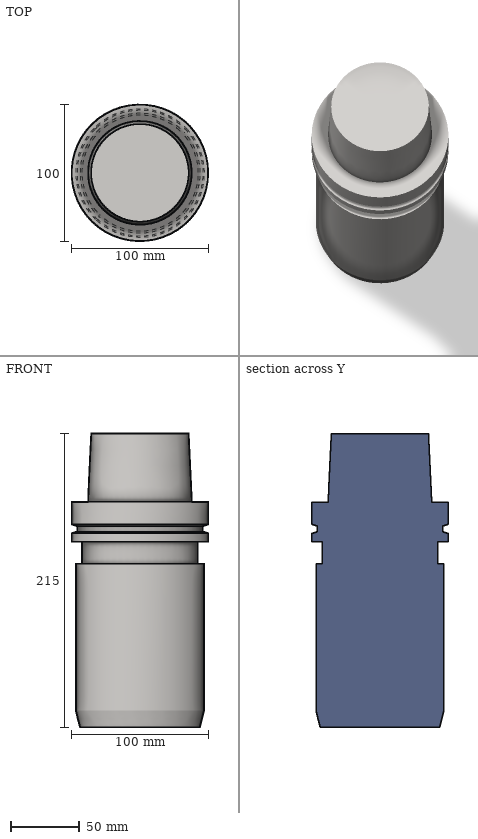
import cadquery as cq

total_height = 215.0

base_diameter = 87.7
body_diameter = 94.0
neck_diameter = 85.0
flange_diameter = 100.0
groove_diameter = 92.0
taper_large_diameter = 76.0
taper_small_diameter = 71.4

base_bevel_height = 12.5
body_height = 107.3
neck_height = 16.0
lower_lip_height = 6.2
groove_flank_height = 1.3
groove_floor_height = 3.9
upper_flange_height = 16.5
taper_seat_height = 2.5

body_top = base_bevel_height + body_height
neck_top = body_top + neck_height
lip_top = neck_top + lower_lip_height
groove_floor_bottom = lip_top + groove_flank_height
groove_floor_top = groove_floor_bottom + groove_floor_height
groove_top = groove_floor_top + groove_flank_height
flange_top = groove_top + upper_flange_height
taper_bottom = flange_top + taper_seat_height

profile = [
    (base_diameter, 0),
    (body_diameter, base_bevel_height),
    (body_diameter, body_top),
    (neck_diameter, body_top),
    (neck_diameter, neck_top),
    (flange_diameter, neck_top),
    (flange_diameter, lip_top),
    (groove_diameter, groove_floor_bottom),
    (groove_diameter, groove_floor_top),
    (flange_diameter, groove_top),
    (flange_diameter, flange_top),
    (taper_large_diameter, flange_top),
    (taper_large_diameter, taper_bottom),
    (taper_small_diameter, total_height),
]
half_section = [(diameter / 2, level) for diameter, level in profile]

result = (
    cq.Workplane("XZ")
    .polyline([(0, 0)] + half_section + [(0, total_height)])
    .close()
    .revolve(360, (0, 0, 0), (0, 1, 0))
)